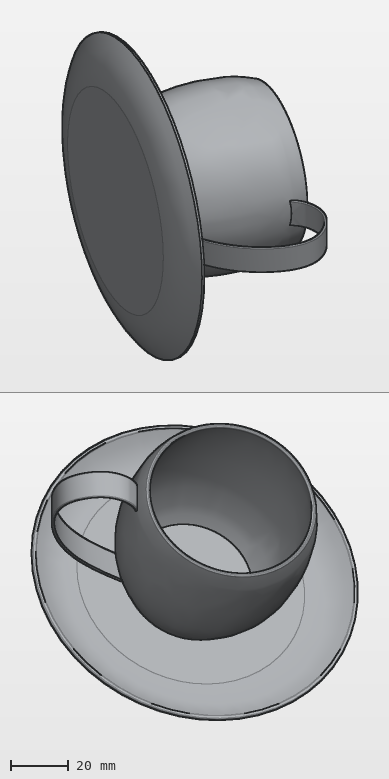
import cadquery as cq


overall_length = 117.4

saucer_radius = 116.3 / 2
saucer_height = 8.0
saucer_wall = 1.4
foot_radius = 40.6
flank_mid = (49.3, 1.9)
upright_rim = 1.0
saucer_rim_round = 0.4
saucer_rim_base = saucer_height - upright_rim

cup_rim_radius = 30.2
cup_height = 59.5
cup_base_radius = 46.6 / 2
cup_floor_radius = 43.2 / 2
cup_wall = 1.6
rim_round = 0.6
cup_base = saucer_wall
cup_floor = cup_base + cup_wall
cup_belly = [(27.0, 8.3), (30.8, 17.1), (33.2, 28.2), (33.8, 36.3), (32.6, 51.4)]

handle_width = 10.1
handle_thickness = 0.9
handle_edge_round = 0.4
handle_reach = overall_length - saucer_radius - handle_thickness / 2
handle_path = [
    (31.5, 51.2), (37.3, 57.8), (43.7, 59.2), (51.7, 56.4), (57.2, 50.4),
    (handle_reach, 42.7), (57.8, 36.3), (51.4, 23.1), (43.7, 14.9), (34.3, 8.6), (24.2, 3.5),
]


def revolve_about_axis(profile):
    return profile.close().revolve(360, (0, 0, 0), (0, 1, 0))


def make_saucer():
    """Thin dish with a flat foot, curved flank and short upright rim, rounded at the top."""
    inner_rim_radius = saucer_radius - saucer_wall
    profile = (
        cq.Workplane("XY")
        .lineTo(foot_radius, 0)
        .threePointArc(flank_mid, (saucer_radius, saucer_rim_base))
        .lineTo(saucer_radius, saucer_height)
        .lineTo(inner_rim_radius, saucer_height)
        .threePointArc(
            (flank_mid[0] - saucer_wall / 2, flank_mid[1] + saucer_wall),
            (foot_radius, saucer_wall),
        )
        .lineTo(0, saucer_wall)
    )
    dish = revolve_about_axis(profile)
    return dish.faces(">Y").edges().fillet(saucer_rim_round)


def barrel(bottom_radius, bottom, top_radius, belly):
    """Solid of revolution with flat ends and a bulging side."""
    profile = (
        cq.Workplane("XY")
        .moveTo(0, bottom)
        .lineTo(bottom_radius, bottom)
        .spline(belly + [(top_radius, cup_height)], includeCurrent=True)
        .lineTo(0, cup_height)
    )
    return revolve_about_axis(profile)


def make_handle_strip():
    """Flat strip with rounded edges, swept along the ear-shaped handle curve."""
    path = cq.Workplane("XY").spline(handle_path)
    start = path.val().positionAt(0)
    direction = path.val().tangentAt(0)
    section = (
        cq.Sketch()
        .rect(handle_width, handle_thickness)
        .vertices()
        .fillet(handle_edge_round)
    )
    section_plane = cq.Plane(origin=start, xDir=(0, 0, 1), normal=direction)
    return cq.Workplane(section_plane).placeSketch(section).sweep(path)


def make_cup():
    """Hollow cup with a rounded rim and its handle."""
    outside = barrel(cup_base_radius, cup_base, cup_rim_radius, cup_belly)
    inner_belly = [(radius - cup_wall, y) for radius, y in cup_belly]
    cavity = barrel(cup_floor_radius, cup_floor, cup_rim_radius - cup_wall, inner_belly)
    shell = outside.cut(cavity).faces(">Y").edges().fillet(rim_round)
    return shell.union(make_handle_strip().cut(cavity))


saucer = make_saucer()
cup = make_cup()

result = cq.Compound.makeCompound([saucer.val(), *cup.solids().vals()])